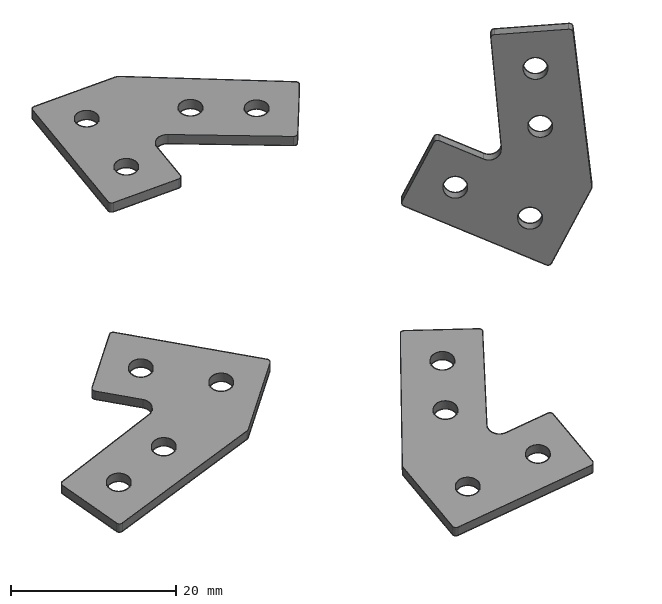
import cadquery as cq
import math

base_length = 20.03
base_width = 10.0
thickness = 1.5
corner_radius = 0.5
inner_radius = 1.5

arm_angle = math.radians(60)
arm_root_x = 10.98
arm_inner_length = 18.3
arm_end_width = base_width
left_edge_height = 11.95

hole_diameter = 3.0
base_holes = [
    (base_length / 4, base_width / 2),
    (3 * base_length / 4, base_width / 2),
]
arm_holes = [(9.3, 17.0), (13.22, 23.98)]

arm_inner_end = (
    arm_root_x + arm_inner_length * math.cos(arm_angle),
    base_width + arm_inner_length * math.sin(arm_angle),
)
arm_outer_end = (
    arm_inner_end[0] - arm_end_width * math.sin(arm_angle),
    arm_inner_end[1] + arm_end_width * math.cos(arm_angle),
)
arm_root = (arm_root_x, base_width)

outline = [
    (0, 0),
    (base_length, 0),
    (base_length, base_width),
    arm_root,
    arm_inner_end,
    arm_outer_end,
    (0, left_edge_height),
]
outer_corners = [point for point in outline if point != arm_root]


def round_corners(body, corners, radius):
    """Round the upright edges that stand on the given outline corners."""
    margin = 0.03
    for x, y in corners:
        selector = cq.selectors.BoxSelector(
            (x - margin, y - margin, 0), (x + margin, y + margin, thickness)
        )
        body = body.edges("|Z").edges(selector).fillet(radius)
    return body


plate = cq.Workplane("XY").polyline(outline).close().extrude(thickness)
plate = round_corners(plate, outer_corners, corner_radius)
plate = round_corners(plate, [arm_root], inner_radius)

holes = (
    cq.Workplane("XY")
    .pushPoints(base_holes + arm_holes)
    .circle(hole_diameter / 2)
    .extrude(thickness)
)
result = plate.cut(holes)